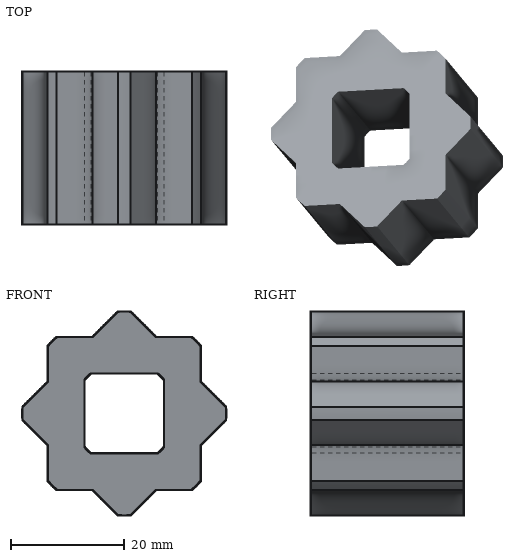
import cadquery as cq

length = 27.0
star_square = 27.0
star_turn = 45.0
star_diameter = 36.0
bore_square = 14.0
bore_diameter = 18.3


def square_bar(side, angle=0.0):
    """Square bar centred on the origin, running along Y and turned about Y."""
    bar = cq.Workplane("XY").box(side, length, side)
    return bar.rotate((0, 0, 0), (0, 1, 0), angle)


def round_bar(diameter):
    """Round bar centred on the origin, running along Y."""
    return cq.Workplane("XZ").circle(diameter / 2).extrude(length / 2, both=True)


def star_body():
    """Eight-pointed star of two squares, with its points turned to a cylinder."""
    star = square_bar(star_square).union(square_bar(star_square, star_turn))
    return star.intersect(round_bar(star_diameter))


def square_bore():
    """Square through hole whose corners follow a cylinder."""
    return square_bar(bore_square).intersect(round_bar(bore_diameter))


result = star_body().cut(square_bore())